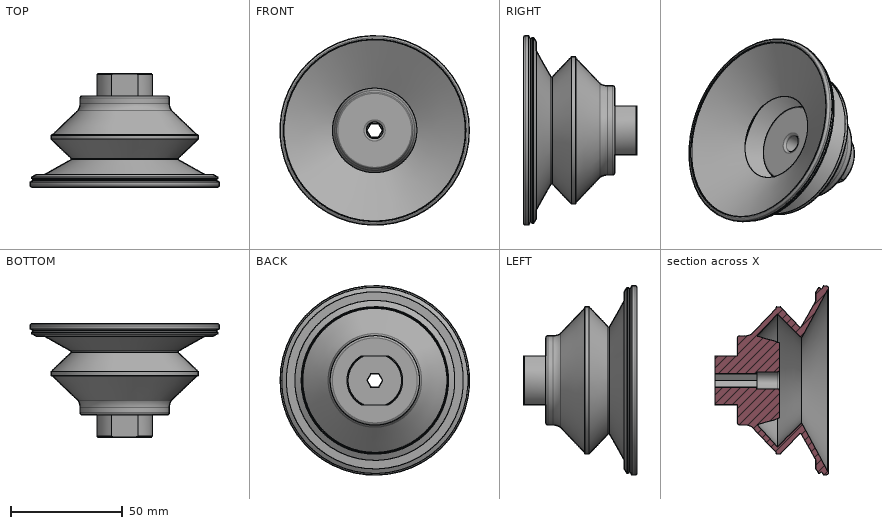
import cadquery as cq
import math

total_length = 51.0

rim_radius = 42.5
lip_round = 1.0
lip_shoulder_y = 2.4
groove_radius = 41.1
groove_front_y = 3.15
groove_back_y = 3.4
bead_radius = 41.7
bead_front_y = 4.0
bead_back_y = 4.6
rim_back_radius = 39.7
rim_back_y = 5.8

skirt_root_radius = 35.9
waist_radius = 24.05
waist_front_y = 12.4
waist_back_y = 13.0
fold_radius = 33.1
fold_front_y = 21.6
fold_back_y = 23.6
fold_chamfer = 0.3
cone_start_radius = 32.3
cone_end_radius = 21.0
cone_end_y = 34.4

collar_radius = 20.1
collar_front_y = 37.65
collar_back_y = 41.0
collar_round = 1.0

mouth_radius = 40.6
mouth_lip_radius = 40.9
mouth_lip_depth = 0.4
throat_radius = 18.95
throat_y = 12.1
inner_fold_radius = 29.75
inner_fold_y = 22.95
pocket_radius = 20.0
pocket_y = 31.9

plate_radius = 17.1
plate_root_radius = 17.9
plate_root_y = 24.65
plate_face_y = 21.9
plate_round = 0.5

spigot_radius = 12.5
spigot_chamfer = 0.5
flats_width = 21.9

bore_radius = 3.7
bore_depth = 10.2
bore_round = 1.0
hex_across_flats = 5.95


def round_inset(radius):
    """Distance from each side of a square corner to the middle of its rounding."""
    return radius * (1 - math.sqrt(0.5))


def revolve_about_y(profile):
    """Close a half profile drawn in X (radius) and Y and turn it around the axis."""
    return profile.close().revolve(360, (0, 0, 0), (0, 1, 0))


def solid_body():
    """Outer shape of rim, bellows and collar, without the cavity."""
    lip_inset = round_inset(lip_round)
    collar_inset = round_inset(collar_round)
    neck_step = cone_end_radius - collar_radius
    neck_length = collar_front_y - cone_end_y
    neck_arc_radius = (neck_step**2 + neck_length**2) / (2 * neck_step)
    profile = (
        cq.Workplane("XY")
        .moveTo(0, 0)
        .lineTo(rim_radius - lip_round, 0)
        .threePointArc((rim_radius - lip_inset, lip_inset), (rim_radius, lip_round))
        .lineTo(rim_radius, lip_shoulder_y)
        .lineTo(groove_radius, groove_front_y)
        .lineTo(groove_radius, groove_back_y)
        .lineTo(bead_radius, bead_front_y)
        .lineTo(bead_radius, bead_back_y)
        .lineTo(rim_back_radius, rim_back_y)
        .lineTo(skirt_root_radius, rim_back_y)
        .lineTo(waist_radius, waist_front_y)
        .lineTo(waist_radius, waist_back_y)
        .lineTo(fold_radius, fold_front_y)
        .lineTo(fold_radius, fold_back_y - fold_chamfer)
        .lineTo(fold_radius - fold_chamfer, fold_back_y)
        .lineTo(cone_start_radius, fold_back_y)
        .lineTo(cone_end_radius, cone_end_y)
        .radiusArc((collar_radius, collar_front_y), neck_arc_radius)
        .lineTo(collar_radius, collar_back_y - collar_round)
        .threePointArc(
            (collar_radius - collar_inset, collar_back_y - collar_inset),
            (collar_radius - collar_round, collar_back_y),
        )
        .lineTo(0, collar_back_y)
    )
    return revolve_about_y(profile)


def cavity():
    """Hollow of the bellows, folded like the outside, with the support plate left standing."""
    inset = round_inset(plate_round)
    profile = (
        cq.Workplane("XY")
        .moveTo(0, 0)
        .lineTo(mouth_lip_radius, 0)
        .lineTo(mouth_radius, mouth_lip_depth)
        .lineTo(throat_radius, throat_y)
        .lineTo(inner_fold_radius, inner_fold_y)
        .lineTo(pocket_radius, pocket_y)
        .lineTo(plate_root_radius, plate_root_y)
        .lineTo(plate_radius, plate_face_y + plate_round)
        .threePointArc(
            (plate_radius - inset, plate_face_y + inset),
            (plate_radius - plate_round, plate_face_y),
        )
        .lineTo(0, plate_face_y)
    )
    return revolve_about_y(profile)


def cylinder_along_y(radius, start_y, end_y):
    return cq.Workplane("XZ", origin=(0, start_y, 0)).circle(radius).extrude(start_y - end_y)


def spigot():
    """Round bar behind the collar, flattened above and below for a wrench."""
    round_bar = cylinder_along_y(spigot_radius, collar_back_y, total_length)
    round_bar = round_bar.faces(">Y").chamfer(spigot_chamfer)
    between_flats = cq.Workplane("XY").box(2 * spigot_radius, 2 * total_length, flats_width)
    return round_bar.intersect(between_flats)


def air_passage():
    """Round bore with a rounded mouth in the plate, carried on as a hexagon through the spigot."""
    bore = cylinder_along_y(bore_radius, plate_face_y, plate_face_y + bore_depth)
    inset = round_inset(bore_round)
    mouth = revolve_about_y(
        cq.Workplane("XY")
        .moveTo(0, plate_face_y)
        .lineTo(bore_radius + bore_round, plate_face_y)
        .threePointArc((bore_radius + inset, plate_face_y + inset), (bore_radius, plate_face_y + bore_round))
        .lineTo(0, plate_face_y + bore_round)
    )
    hex_across_corners = hex_across_flats / math.cos(math.pi / 6)
    hexagon = cq.Workplane("XZ").polygon(6, hex_across_corners).extrude(-total_length)
    return bore.union(mouth).union(hexagon)


result = solid_body().cut(cavity()).union(spigot()).cut(air_passage())